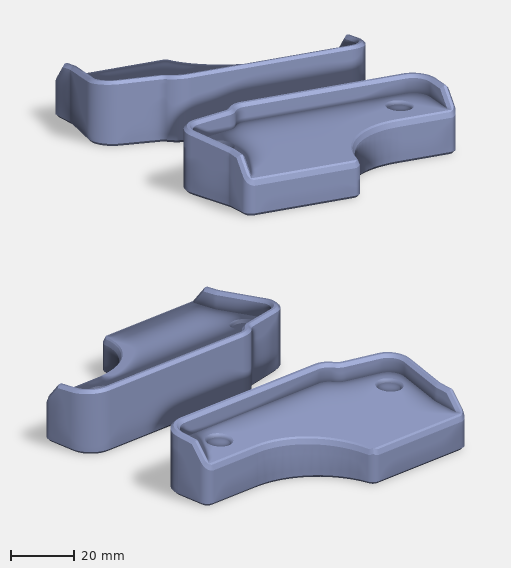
import cadquery as cq
import math

overall_length = 123.8
overall_width = 95.8
overall_height = 22.3

outer_x = -overall_length / 2
inner_x = -15.6
neck_x = -37.3
back_y = overall_width / 2
front_y = -overall_width / 2
front_flat_y = -43.8
foot_tilt = 12.4
foot_center_x = -30.8
foot_radius = 8.3
large_radius = 8.5
small_radius = 3.0
step_start_y = -19.9
scoop_radius = 27.2
scoop_start_y = 25.4
scoop_center_x = neck_x - scoop_radius

tilt = 5.0
wall_thickness = 3.0
tray_depth = 6.0
edge_chamfer = 1.0
bevel_width = 6.4
bevel_drop = 7.2

dimple_diameter = 9.0
dimple_depth = 1.0
dimple_places = [(-26.6, 32.2), (-33.0, -37.0)]

margin = 12.4

slope = math.tan(math.radians(tilt))
rim_peak_x = inner_x - edge_chamfer * math.cos(math.radians(tilt))


def rim_height(x):
    """Height of the tilted rim plane at x."""
    return overall_height + slope * (x - rim_peak_x)


def floor_height(x):
    """Height of the tray floor, parallel to the rim plane."""
    return rim_height(x) - tray_depth / math.cos(math.radians(tilt))


def scoop_y(x):
    """Y of the concave scoop at x."""
    return scoop_start_y - math.sqrt(scoop_radius**2 - (x - scoop_center_x) ** 2)


def upright_edge_at(x, y):
    """Selector for the upright edge nearest to a point of the outline."""
    return cq.selectors.NearestToPointSelector((x, y, (overall_height + margin) / 2))


def walled_prism():
    """Prism bounded by the three walled sides, running past the open side."""
    cos_foot = math.cos(math.radians(foot_tilt))
    sin_foot = math.sin(math.radians(foot_tilt))
    foot_center_y = front_y + foot_radius
    apex_x = foot_center_x + foot_radius * (cos_foot - sin_foot)
    apex_y = foot_center_y - foot_radius * (cos_foot + sin_foot)
    front_flat_end_x = apex_x - (front_flat_y - apex_y) * cos_foot / sin_foot

    arc_x = inner_x - large_radius
    gap_x = apex_x - arc_x
    gap_y = apex_y - step_start_y
    along = gap_x * sin_foot + gap_y * cos_foot
    run = -along - math.sqrt(along**2 - gap_x**2 - gap_y**2 + large_radius**2)
    notch_x = apex_x + run * sin_foot
    notch_y = apex_y + run * cos_foot
    half_angle = math.atan2(step_start_y - notch_y, notch_x - arc_x) / 2
    arc_middle = (
        arc_x + large_radius * math.cos(half_angle),
        step_start_y - large_radius * math.sin(half_angle),
    )

    prism = (
        cq.Workplane("XY")
        .moveTo(outer_x - margin, back_y)
        .lineTo(inner_x, back_y)
        .lineTo(inner_x, step_start_y)
        .threePointArc(arc_middle, (notch_x, notch_y))
        .lineTo(apex_x, apex_y)
        .lineTo(front_flat_end_x, front_flat_y)
        .lineTo(outer_x - margin, front_flat_y)
        .close()
        .extrude(overall_height + margin)
    )
    for x, y, radius in [
        (inner_x, back_y, large_radius),
        (apex_x, apex_y, foot_radius),
        (front_flat_end_x, front_flat_y, small_radius),
        (notch_x, notch_y, small_radius),
    ]:
        prism = prism.edges("|Z").edges(upright_edge_at(x, y)).fillet(radius)
    return prism


def open_side_prism():
    """Prism bounded by the open side: outer edge, concave scoop and neck."""
    diagonal = math.sqrt(0.5) * scoop_radius
    return (
        cq.Workplane("XY")
        .moveTo(outer_x, front_y - margin)
        .lineTo(outer_x, scoop_y(outer_x))
        .threePointArc((scoop_center_x + diagonal, scoop_start_y - diagonal), (neck_x, scoop_start_y))
        .lineTo(neck_x, back_y + margin)
        .lineTo(inner_x + margin, back_y + margin)
        .lineTo(inner_x + margin, front_y - margin)
        .close()
        .extrude(overall_height + margin)
    )


def space_above(height):
    """Everything above a tilted plane given by its height as a function of x."""
    left = outer_x - 2 * margin
    right = inner_x + 2 * margin
    top = overall_height + 2 * margin
    return (
        cq.Workplane("XZ")
        .polyline([(left, height(left)), (right, height(right)), (right, top), (left, top)])
        .close()
        .extrude(overall_width / 2 + 2 * margin, both=True)
    )


def is_open_side(edge):
    """True for an edge of the outer edge, scoop or neck line."""
    return edge.Center().x < neck_x + 0.1


def highest_face(solid):
    """The tilted rim face."""
    return max(solid.Faces(), key=lambda face: face.Center().z)


def beveled_prism():
    """Open-side prism cut to the tilted rim, with a wide bevel along the open side."""
    prism = open_side_prism().cut(space_above(rim_height)).val()
    sharp_edges = [edge for edge in highest_face(prism).Edges() if is_open_side(edge)]
    return prism.chamfer(bevel_drop, bevel_width, sharp_edges)


def rounded_prism():
    """Upright prism of the complete outline, with the open side's corners rounded."""
    prism = walled_prism().intersect(open_side_prism())
    scoop_corner_y = scoop_y(outer_x)
    for x, y in [(outer_x, front_flat_y), (outer_x, scoop_corner_y), (neck_x, back_y)]:
        prism = prism.edges("|Z").edges(upright_edge_at(x, y)).fillet(small_radius)
    return prism


def is_upright(face):
    return abs(face.normalAt(face.Center()).z) < 0.01


def upper_edges(solid):
    """Edges where the upright sides meet the rim or the bevel."""
    upright = [edge for face in solid.Faces() if is_upright(face) for edge in face.Edges()]
    slanted = [edge for face in solid.Faces() if not is_upright(face) for edge in face.Edges()]
    return [
        edge
        for edge in upright
        if edge.Center().z > 2 * edge_chamfer and any(edge.isSame(other) for other in slanted)
    ]


def chamfered_block():
    """Solid tray blank with its bottom edge and its whole upper edge chamfered."""
    block = rounded_prism().intersect(cq.Workplane(beveled_prism()))
    block = block.faces("<Z").chamfer(edge_chamfer).val()
    return cq.Workplane(block.chamfer(edge_chamfer, None, upper_edges(block)))


def pocket():
    """Space inside the walls and above the floor, open toward the outer side."""
    outline = walled_prism().faces("<Z").val().outerWire()
    inside = cq.Workplane("XY").add(outline.offset2D(-wall_thickness)).toPending().extrude(overall_height + margin)
    return inside.intersect(space_above(floor_height))


def is_pocket_wall(face):
    return is_upright(face) and face.BoundingBox().zmin > overall_height / 3


def pocket_rim_edges(solid):
    """Upper edges of the pocket walls."""
    walls = [face for face in solid.Faces() if is_pocket_wall(face)]
    wall_edges = [edge for face in walls for edge in face.Edges()]
    return [
        edge
        for edge in upper_edges(solid)
        if edge.Center().z > floor_height(edge.Center().x) + edge_chamfer
        and any(edge.isSame(other) for other in wall_edges)
    ]


def dimple(x, y):
    """Conical dimple, square to the tray floor."""
    plane = cq.Plane(
        origin=(x, y, floor_height(x)),
        xDir=(1, 0, slope),
        normal=(-slope, 0, 1),
    )
    return cq.Workplane(plane).circle(dimple_diameter / 2).extrude(-dimple_depth, taper=45)


def left_tray():
    """Complete left tray."""
    hollow = chamfered_block().cut(pocket()).val()
    tray = cq.Workplane(hollow.chamfer(edge_chamfer, None, pocket_rim_edges(hollow)))
    for x, y in dimple_places:
        tray = tray.cut(dimple(x, y))
    return tray


left = left_tray()
right = left.mirror("YZ")

result = cq.Compound.makeCompound([left.solids().val(), right.solids().val()])